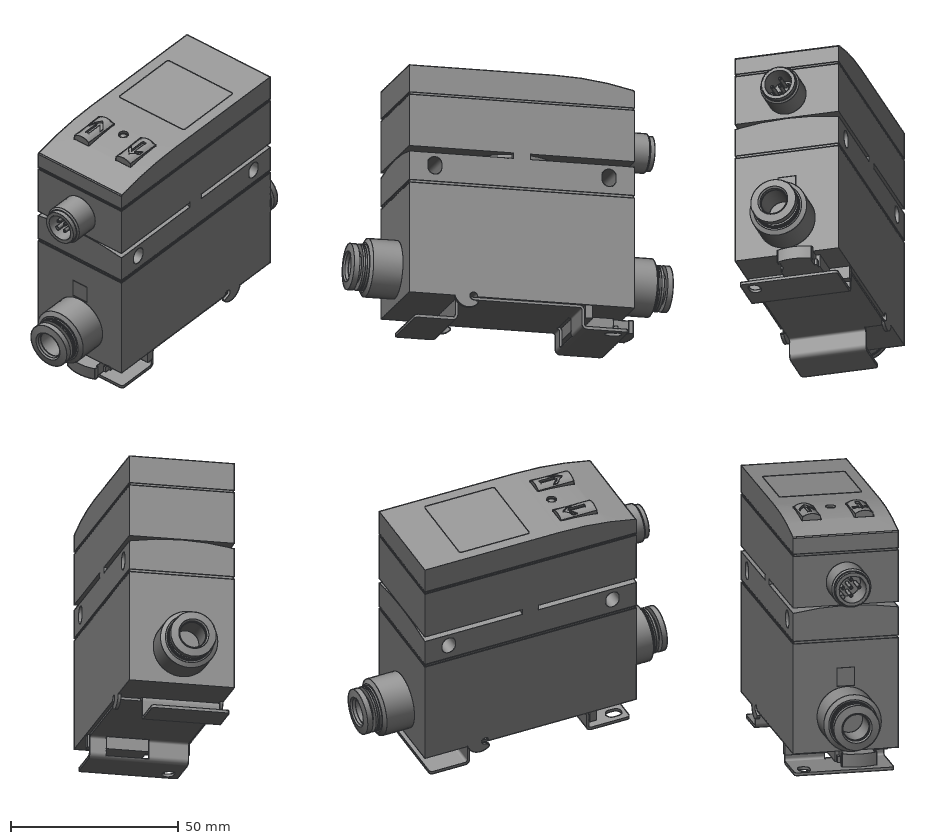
import cadquery as cq
import math


WIDTH = 32.3
LENGTH = 69.9
FRONT_Y = -LENGTH / 2
BASE_Z = 7.4
COVER_Z = 77.8
COVER_FRONT_Z = 74.7
COVER_CURVE_START_Y = -10.0
FRONT_EDGE_CHAMFER = 0.3

GROOVE_DEPTH = 0.3
LOWER_GROOVE_Z = 41.5
LOWER_GROOVE_HEIGHT = 0.8
UPPER_GROOVE_Z = 68.8
UPPER_GROOVE_HEIGHT = 0.7

GAP_TOP_Z = 52.8
GAP_CREST_Z = 52.6
GAP_EDGE_Z = 51.1
CORE_DIAMETER = 29.1
BRIDGE_WIDTH = 5.3

SLOT_WIDTH = 4.4
SLOT_HEIGHT = 5.4
SLOT_Y = 27.0
SLOT_Z = 47.2

PORT_Z = 18.5
PORT_REACH = 49.9
PORT_BARREL_DIAMETER = 17.7
PORT_SHOULDER_DIAMETER = 15.0
PORT_RING_DIAMETER = 14.0
PORT_RING_GROOVE_DIAMETER = 13.4
PORT_NECK_DIAMETER = 9.8
PORT_FACE_RISE = 0.4
PORT_BARREL_END = 44.0
PORT_SHOULDER_END = 44.8
PORT_RING_GROOVE_START = 45.4
PORT_RING_GROOVE_END = 46.0
PORT_COLLAR_END = 46.7
PORT_NECK_END = 47.8
PORT_MOUTH_DIAMETER = 9.3
PORT_ENTRY_DIAMETER = 8.3
PORT_BORE_DIAMETER = 8.0
PORT_MOUTH_DEPTH = 0.5
PORT_ENTRY_DEPTH = 1.5
PORT_BORE_DEPTH = 10.0

PLUG_Z = 60.1
PLUG_DIAMETER = 12.0
PLUG_TIP_DIAMETER = 10.5
PLUG_BARREL_LENGTH = 7.5
PLUG_CHAMFER_LENGTH = 0.5
PLUG_LENGTH = 9.4
PLUG_BORE_DIAMETER = 8.3
PLUG_BORE_DEPTH = 8.0
PIN_DIAMETER = 1.0
PIN_PITCH = 2.5
PIN_CHAMFER = 0.2
PIN_LENGTH = 6.0
KEY_DIAMETER = 1.4
KEY_ANGLE = math.radians(225)

DISPLAY_WIDTH = 25.3
DISPLAY_LENGTH = 23.2
DISPLAY_Y = 10.2
DISPLAY_CORNER = 0.7
LABEL_WIDTH = 5.5
LABEL_BOTTOM_Z = 27.5
LABEL_TOP_Z = 33.2
FIELD_DEPTH = 0.1

BUTTON_X = 8.1
BUTTON_Y = -18.5
BUTTON_WIDTH = 5.5
BUTTON_LENGTH = 11.8
BUTTON_TOP_Z = 78.7
BUTTON_SHOULDER_Z = 77.8
BUTTON_CLEARANCE = 0.3
BUTTON_WELL_Z = 76.0
BUTTON_WELL_CORNER = 0.5
ARROW_Y = -18.1
ARROW_LENGTH = 7.3
ARROW_HALF_SPAN = 2.2
ARROW_WING_DROP = 2.6
ARROW_SHAFT_WIDTH = 1.2
ARROW_STROKE = 1.3
ARROW_FLOOR_Z = 78.0

LAMP_Y = -14.5
LAMP_HOLE_DIAMETER = 2.9
LAMP_DIAMETER = 2.2
LAMP_HOLE_FLOOR_Z = 77.0
LAMP_DOME_RISE = 0.5

RAIL_WIDTH = 30.4
SHEET = 0.8
FOOT_SHEET = 0.9
BEND_RADIUS = 0.8
RAIL_FRONT_Y = -19.7
RAIL_REAR_Y = 20.5
FOOT_FRONT_Y = -33.3
FOOT_REAR_Y = 32.7
FOOT_CORNER = 1.0
FOOT_HOLE_WIDTH = 3.6
FOOT_HOLE_LENGTH = 5.1
FOOT_HOLE_X = -11.6
FOOT_HOLE_Y = -29.5
LATCH_NOTCH_LEFT_X = -3.0
LATCH_NOTCH_RIGHT_X = 10.2
REAR_FOOT_RIGHT_X = 8.6

HOOK_THICKNESS = (WIDTH - RAIL_WIDTH) / 2
HOOK_REAR_Y = 20.8
HOOK_LOWEST_Y = 16.8
HOOK_LOWEST_Z = 4.1
HOOK_TIP_Y = 13.6
HOOK_TIP_BOTTOM_Z = 5.4
HOOK_TIP_TOP_Z = 5.9
HOOK_THROAT_Y = 15.4
HOOK_THROAT_Z = 6.6
RELIEF_Y = 15.0
RELIEF_Z = 7.6
RELIEF_DIAMETER = 2.3

LATCH_BOTTOM_Z = 3.4
LATCH_HEIGHT = BASE_Z - LATCH_BOTTOM_Z
CROSSBAR_WIDTH = 31.4
CROSSBAR_REAR_Y = -19.9
CROSSBAR_FRONT_Y = -22.1
LATCH_X = 3.4
STEM_WIDTH = 12.2
STEM_FRONT_Y = -32.0
NECK_WIDTH = 9.6
HEAD_REAR_Y = -37.0
HEAD_FRONT_Y = -38.4
HEAD_WIDTH = 10.8
HEAD_ARC_WIDTH = 10.4
HEAD_ARC_Y = -39.5
LUG_WIDTH = 11.2
LUG_FRONT_Y = -33.6
LUG_TOP_Z = 5.3


def box_between(x0, x1, y0, y1, z0, z1):
    """Box given by its lower and upper limits along each axis."""
    return cq.Workplane("XY").box(x1 - x0, y1 - y0, z1 - z0, centered=False).translate((x0, y0, z0))


def centered_box(width, y0, y1, z0, z1, x=0):
    """Box of a given width, centred on a plane of constant X."""
    return box_between(x - width / 2, x + width / 2, y0, y1, z0, z1)


def cylinder_along_y(diameter, y0, y1, x, z):
    """Round bar parallel to Y, reaching from y0 to y1."""
    return cq.Workplane("XZ", origin=(x, y0, z)).circle(diameter / 2).extrude(y0 - y1)


def side_profile(start_y, start_z):
    """Start an outline in the YZ plane."""
    return cq.Workplane("YZ").moveTo(start_y, start_z)


def block():
    """Main block whose cover falls away in a tangent arc towards the front."""
    run = COVER_CURVE_START_Y - FRONT_Y
    drop = COVER_Z - COVER_FRONT_Z
    radius = (run**2 + drop**2) / (2 * drop)
    half_angle = math.asin(run / radius) / 2
    arc_middle = (
        COVER_CURVE_START_Y - radius * math.sin(half_angle),
        COVER_Z - radius * (1 - math.cos(half_angle)),
    )
    outline = (
        side_profile(FRONT_Y, BASE_Z)
        .lineTo(-FRONT_Y, BASE_Z)
        .lineTo(-FRONT_Y, COVER_Z)
        .lineTo(COVER_CURVE_START_Y, COVER_Z)
        .threePointArc(arc_middle, (FRONT_Y, COVER_FRONT_Z))
        .close()
    )
    solid = outline.extrude(WIDTH / 2, both=True)
    return solid.edges(cq.selectors.NearestToPointSelector((0, FRONT_Y, COVER_FRONT_Z))).chamfer(
        FRONT_EDGE_CHAMFER
    )


def shadow_groove(bottom_z, height):
    """Ring that cuts a shallow groove around the four sides."""
    ring = cq.Workplane("XY").workplane(offset=bottom_z).rect(WIDTH, LENGTH)
    ring = ring.rect(WIDTH - 2 * GROOVE_DEPTH, LENGTH - 2 * GROOVE_DEPTH)
    return ring.extrude(height)


def domed_gap():
    """Gap with an arched floor, kept clear of the round core and the two side bridges."""
    half = WIDTH / 2
    gap = (
        cq.Workplane("XZ")
        .moveTo(-half, GAP_EDGE_Z)
        .threePointArc((0, GAP_CREST_Z), (half, GAP_EDGE_Z))
        .lineTo(half, GAP_TOP_Z)
        .lineTo(-half, GAP_TOP_Z)
        .close()
        .extrude(LENGTH / 2, both=True)
    )
    core = cq.Workplane("XY").workplane(offset=BASE_Z).circle(CORE_DIAMETER / 2).extrude(COVER_Z - BASE_Z)
    bridges = centered_box(WIDTH, -BRIDGE_WIDTH / 2, BRIDGE_WIDTH / 2, BASE_Z, COVER_Z)
    return gap.cut(core).cut(bridges)


def mounting_slots():
    """Two upright slots through the whole width."""
    return (
        cq.Workplane("YZ")
        .pushPoints([(-SLOT_Y, SLOT_Z), (SLOT_Y, SLOT_Z)])
        .slot2D(SLOT_HEIGHT, SLOT_WIDTH, 90)
        .extrude(WIDTH / 2, both=True)
    )


def revolved_port(points):
    """Turn (radius, distance from the middle) points around the front port axis."""
    profile = cq.Workplane("XY").polyline([(radius, -distance) for radius, distance in points]).close()
    return profile.revolve(360, (0, 0, 0), (0, 1, 0)).translate((0, 0, PORT_Z))


def front_port():
    """Push-in tube fitting that stands out from the front face."""
    barrel = PORT_BARREL_DIAMETER / 2
    shoulder = PORT_SHOULDER_DIAMETER / 2
    ring = PORT_RING_DIAMETER / 2
    ring_groove = PORT_RING_GROOVE_DIAMETER / 2
    neck = PORT_NECK_DIAMETER / 2
    mouth = PORT_MOUTH_DIAMETER / 2
    return revolved_port([
        (0, -FRONT_Y),
        (barrel, -FRONT_Y),
        (barrel, PORT_BARREL_END),
        (shoulder, PORT_SHOULDER_END),
        (ring, PORT_SHOULDER_END),
        (ring, PORT_RING_GROOVE_START),
        (ring_groove, PORT_RING_GROOVE_START),
        (ring_groove, PORT_RING_GROOVE_END),
        (ring, PORT_RING_GROOVE_END),
        (ring, PORT_COLLAR_END),
        (neck, PORT_COLLAR_END),
        (neck, PORT_NECK_END),
        (ring, PORT_NECK_END),
        (ring, PORT_REACH - PORT_FACE_RISE),
        (mouth, PORT_REACH),
        (0, PORT_REACH),
    ])


def front_port_bore():
    """Blind stepped bore of the tube fitting."""
    mouth = PORT_MOUTH_DIAMETER / 2
    entry = PORT_ENTRY_DIAMETER / 2
    bore = PORT_BORE_DIAMETER / 2
    return revolved_port([
        (0, PORT_REACH),
        (mouth, PORT_REACH),
        (entry, PORT_REACH - PORT_MOUTH_DEPTH),
        (entry, PORT_REACH - PORT_ENTRY_DEPTH),
        (bore, PORT_REACH - PORT_ENTRY_DEPTH),
        (bore, PORT_REACH - PORT_BORE_DEPTH),
        (0, PORT_REACH - PORT_BORE_DEPTH),
    ])


def connector():
    """Round plug socket with five contact pins and a coding key."""
    tip_y = FRONT_Y - PLUG_LENGTH
    floor_y = tip_y + PLUG_BORE_DEPTH
    barrel_y = FRONT_Y - PLUG_BARREL_LENGTH
    barrel = cylinder_along_y(PLUG_DIAMETER, barrel_y - PLUG_CHAMFER_LENGTH, FRONT_Y, 0, PLUG_Z)
    barrel = barrel.faces("<Y").chamfer(PLUG_CHAMFER_LENGTH)
    shell = barrel.union(cylinder_along_y(PLUG_TIP_DIAMETER, tip_y, FRONT_Y, 0, PLUG_Z))
    shell = shell.cut(cylinder_along_y(PLUG_BORE_DIAMETER, tip_y, floor_y, 0, PLUG_Z))
    for step_x, step_z in [(0, 0), (1, 0), (-1, 0), (0, 1), (0, -1)]:
        pin = cylinder_along_y(
            PIN_DIAMETER, floor_y - PIN_LENGTH, FRONT_Y, step_x * PIN_PITCH, PLUG_Z + step_z * PIN_PITCH
        )
        shell = shell.union(pin.faces("<Y").chamfer(PIN_CHAMFER))
    key_offset = (PLUG_BORE_DIAMETER - KEY_DIAMETER / 2) / 2
    key_x = key_offset * math.cos(KEY_ANGLE)
    key_z = PLUG_Z + key_offset * math.sin(KEY_ANGLE)
    return shell.union(cylinder_along_y(KEY_DIAMETER, floor_y - PIN_LENGTH, FRONT_Y, key_x, key_z))


def display_field():
    """Shallow display window in the flat part of the cover."""
    return (
        cq.Workplane("XY", origin=(0, DISPLAY_Y, COVER_Z - FIELD_DEPTH))
        .rect(DISPLAY_WIDTH, DISPLAY_LENGTH)
        .extrude(FIELD_DEPTH)
        .edges("|Z")
        .fillet(DISPLAY_CORNER)
    )


def label_field():
    """Shallow label field above the front port."""
    return centered_box(LABEL_WIDTH, FRONT_Y, FRONT_Y + FIELD_DEPTH, LABEL_BOTTOM_Z, LABEL_TOP_Z)


def button_well(x):
    """Clearance pocket in the cover around a button."""
    return (
        cq.Workplane("XY", origin=(x, BUTTON_Y, BUTTON_WELL_Z))
        .rect(BUTTON_WIDTH + 2 * BUTTON_CLEARANCE, BUTTON_LENGTH + 2 * BUTTON_CLEARANCE)
        .extrude(BUTTON_TOP_Z - BUTTON_WELL_Z)
        .edges("|Z")
        .fillet(BUTTON_WELL_CORNER)
    )


def arrow(x, direction):
    """Arrow outline cut into a button; direction is +1 towards +Y and -1 towards -Y."""
    half_shaft = ARROW_SHAFT_WIDTH / 2
    tip = ARROW_LENGTH / 2
    wing = tip - ARROW_WING_DROP
    wing_slope = ARROW_WING_DROP / ARROW_HALF_SPAN
    shaft_top = tip - ARROW_STROKE - half_shaft * wing_slope
    right_side = [
        (half_shaft, -tip),
        (half_shaft, shaft_top),
        (ARROW_HALF_SPAN, wing - ARROW_STROKE),
        (ARROW_HALF_SPAN, wing),
    ]
    left_side = [(-across, along) for across, along in reversed(right_side)]
    outline = right_side + [(0, tip)] + left_side
    return (
        cq.Workplane("XY", origin=(x, ARROW_Y, ARROW_FLOOR_Z))
        .polyline([(across, direction * along) for across, along in outline])
        .close()
        .extrude(BUTTON_TOP_Z - ARROW_FLOOR_Z)
    )


def button(x):
    """Push button with a crowned top."""
    half = BUTTON_WIDTH / 2
    return (
        cq.Workplane("XZ", origin=(x, BUTTON_Y, 0))
        .moveTo(-half, BUTTON_WELL_Z)
        .lineTo(half, BUTTON_WELL_Z)
        .lineTo(half, BUTTON_SHOULDER_Z)
        .threePointArc((0, BUTTON_TOP_Z), (-half, BUTTON_SHOULDER_Z))
        .close()
        .extrude(BUTTON_LENGTH / 2, both=True)
    )


def lamp_hole():
    """Round recess for the signal lamp."""
    recess = cq.Workplane("XY", origin=(0, LAMP_Y, LAMP_HOLE_FLOOR_Z))
    return recess.circle(LAMP_HOLE_DIAMETER / 2).extrude(COVER_Z - LAMP_HOLE_FLOOR_Z)


def lamp():
    """Domed signal lamp standing on the floor of its recess."""
    radius = LAMP_DIAMETER / 2
    sphere_radius = (radius**2 + LAMP_DOME_RISE**2) / (2 * LAMP_DOME_RISE)
    sphere_z = LAMP_HOLE_FLOOR_Z + LAMP_DOME_RISE - sphere_radius
    sphere = cq.Workplane("XY").sphere(sphere_radius).translate((0, LAMP_Y, sphere_z))
    post = cq.Workplane("XY", origin=(0, LAMP_Y, LAMP_HOLE_FLOOR_Z)).circle(radius).extrude(LAMP_DOME_RISE)
    return post.intersect(sphere)


def hook(left_x):
    """Plate-shaped hook that hangs from the block beside the rail."""
    return (
        side_profile(HOOK_REAR_Y, BASE_Z)
        .threePointArc((HOOK_LOWEST_Y, HOOK_LOWEST_Z), (HOOK_TIP_Y, HOOK_TIP_BOTTOM_Z))
        .lineTo(HOOK_TIP_Y, HOOK_TIP_TOP_Z)
        .lineTo(HOOK_THROAT_Y, HOOK_THROAT_Z)
        .lineTo(HOOK_THROAT_Y, BASE_Z)
        .close()
        .extrude(HOOK_THICKNESS)
        .translate((left_x, 0, 0))
    )


def hook_relief():
    """Round relief across the width in the throat of the hooks."""
    return side_profile(RELIEF_Y, RELIEF_Z).circle(RELIEF_DIAMETER / 2).extrude(WIDTH / 2, both=True)


def make_housing():
    body = block()
    body = body.cut(shadow_groove(LOWER_GROOVE_Z, LOWER_GROOVE_HEIGHT))
    body = body.cut(shadow_groove(UPPER_GROOVE_Z, UPPER_GROOVE_HEIGHT))
    body = body.cut(domed_gap())
    body = body.cut(mounting_slots())
    body = body.cut(display_field())
    body = body.cut(label_field())
    body = body.cut(lamp_hole())
    body = body.union(lamp())
    for x, direction in [(-BUTTON_X, 1), (BUTTON_X, -1)]:
        body = body.cut(button_well(x))
        body = body.union(button(x).cut(arrow(x, direction)))
    for turn in (0, 180):
        port = front_port().rotate((0, 0, 0), (0, 0, 1), turn)
        bore = front_port_bore().rotate((0, 0, 0), (0, 0, 1), turn)
        body = body.union(port)
        body = body.cut(bore)
    body = body.union(connector())
    for left_x in (-WIDTH / 2, WIDTH / 2 - HOOK_THICKNESS):
        body = body.union(hook(left_x))
    return body.cut(hook_relief())


def make_rail():
    """Bent sheet rail: a raised web between two feet turned outwards."""
    inner_front = RAIL_FRONT_Y + SHEET
    inner_rear = RAIL_REAR_Y - SHEET
    web_bottom = BASE_Z - SHEET
    inner_bend = BEND_RADIUS
    outer_bend = BEND_RADIUS + SHEET
    sheet = (
        side_profile(FOOT_FRONT_Y, 0)
        .lineTo(inner_front, 0)
        .lineTo(inner_front, web_bottom)
        .lineTo(inner_rear, web_bottom)
        .lineTo(inner_rear, 0)
        .lineTo(FOOT_REAR_Y, 0)
        .lineTo(FOOT_REAR_Y, FOOT_SHEET)
        .lineTo(RAIL_REAR_Y, FOOT_SHEET)
        .lineTo(RAIL_REAR_Y, BASE_Z)
        .lineTo(RAIL_FRONT_Y, BASE_Z)
        .lineTo(RAIL_FRONT_Y, FOOT_SHEET)
        .lineTo(FOOT_FRONT_Y, FOOT_SHEET)
        .close()
        .extrude(RAIL_WIDTH / 2, both=True)
    )
    bends = [
        (RAIL_FRONT_Y, FOOT_SHEET, inner_bend),
        (RAIL_REAR_Y, FOOT_SHEET, inner_bend),
        (inner_front, web_bottom, inner_bend),
        (inner_rear, web_bottom, inner_bend),
        (inner_front, 0, outer_bend),
        (inner_rear, 0, outer_bend),
        (RAIL_FRONT_Y, BASE_Z, outer_bend),
        (RAIL_REAR_Y, BASE_Z, outer_bend),
    ]
    for y, z, radius in bends:
        sheet = sheet.edges(cq.selectors.NearestToPointSelector((0, y, z))).fillet(radius)

    half = RAIL_WIDTH / 2
    foot_top = FOOT_SHEET
    notch_rear_y = inner_front + inner_bend
    notch_front_y = RAIL_FRONT_Y - inner_bend
    sheet = sheet.cut(box_between(
        LATCH_NOTCH_LEFT_X, LATCH_NOTCH_RIGHT_X, notch_front_y, notch_rear_y, foot_top, BASE_Z
    ))
    sheet = sheet.cut(box_between(REAR_FOOT_RIGHT_X, half, inner_rear - outer_bend, FOOT_REAR_Y, 0, BASE_Z))
    sheet = sheet.edges("|Z and (<Y or >Y)").fillet(FOOT_CORNER)
    hole = cq.Workplane("XY").center(FOOT_HOLE_X, FOOT_HOLE_Y).slot2D(FOOT_HOLE_LENGTH, FOOT_HOLE_WIDTH, 90)
    return sheet.cut(hole.extrude(foot_top))


def make_latch():
    """Slide latch: crossbar, stem, narrower neck and a finger head with a bowed front."""
    bottom, top = LATCH_BOTTOM_Z, BASE_Z
    body = centered_box(CROSSBAR_WIDTH, CROSSBAR_FRONT_Y, CROSSBAR_REAR_Y, bottom, top)
    body = body.union(centered_box(STEM_WIDTH, STEM_FRONT_Y, CROSSBAR_FRONT_Y, bottom, top, LATCH_X))
    body = body.union(centered_box(LUG_WIDTH, LUG_FRONT_Y, STEM_FRONT_Y, bottom, LUG_TOP_Z, LATCH_X))
    body = body.union(centered_box(NECK_WIDTH, HEAD_REAR_Y, STEM_FRONT_Y, bottom, top, LATCH_X))
    half_head = HEAD_WIDTH / 2
    half_arc = HEAD_ARC_WIDTH / 2
    head = (
        cq.Workplane("XY", origin=(LATCH_X, 0, bottom))
        .moveTo(-half_head, HEAD_REAR_Y)
        .lineTo(-half_head, HEAD_FRONT_Y)
        .lineTo(-half_arc, HEAD_FRONT_Y)
        .threePointArc((0, HEAD_ARC_Y), (half_arc, HEAD_FRONT_Y))
        .lineTo(half_head, HEAD_FRONT_Y)
        .lineTo(half_head, HEAD_REAR_Y)
        .close()
        .extrude(LATCH_HEIGHT)
    )
    return body.union(head)


housing = make_housing()
rail = make_rail()
latch = make_latch()

result = cq.Compound.makeCompound([housing.val(), rail.val(), latch.val()])